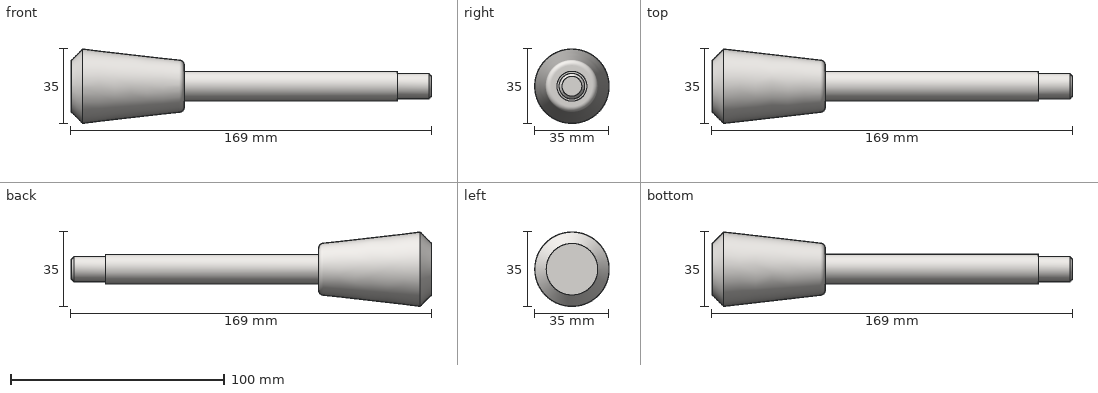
import cadquery as cq

total_length = 169.0

knob_length = 53.0
knob_diameter = 35.0
knob_face_diameter = 24.2
knob_face_bevel = (knob_diameter - knob_face_diameter) / 2
knob_neck_diameter = 24.0
knob_neck_fillet = 2.5

rod_diameter = 14.0
pin_diameter = 12.0
pin_length = 16.0
pin_chamfer = 1.4


def make_knob():
    """Revolve the bevelled, tapered knob about X and round its neck edge."""
    profile = (
        cq.Workplane("XY")
        .lineTo(0, knob_face_diameter / 2)
        .lineTo(knob_face_bevel, knob_diameter / 2)
        .lineTo(knob_length, knob_neck_diameter / 2)
        .lineTo(knob_length, 0)
        .close()
    )
    knob = profile.revolve(360, (0, 0, 0), (1, 0, 0))
    return knob.faces(">X").edges().fillet(knob_neck_fillet)


def make_cylinder(diameter, start, end):
    """Make a cylinder along X between two positions."""
    return cq.Workplane("YZ", origin=(start, 0, 0)).circle(diameter / 2).extrude(end - start)


shoulder = total_length - pin_length
rod = make_cylinder(rod_diameter, knob_length, shoulder)
pin = make_cylinder(pin_diameter, shoulder, total_length).faces(">X").chamfer(pin_chamfer)

result = make_knob().union(rod).union(pin)